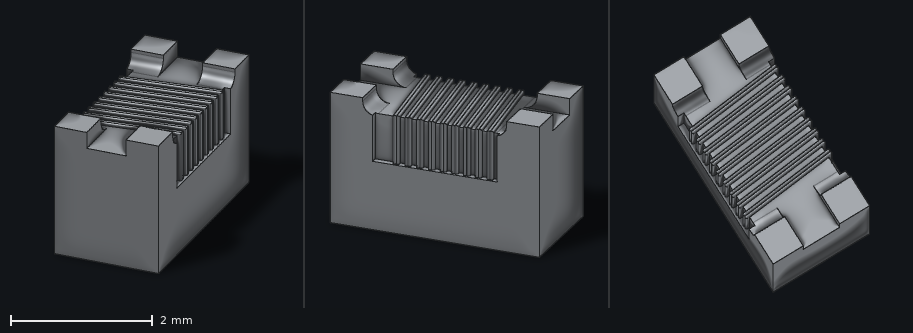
import cadquery as cq
import math

width = 1.6
length = 3.2
height = 2.0

post_width = 0.5
post_length = 0.5
post_height = 0.25
fillet_radius = 0.2
floor_z = height - post_height

recess_depth = 0.1
recess_length = 1.9
recess_height = 0.95
recess_bottom_z = height - recess_height
wall_x = width / 2 - recess_depth

wire_diameter = 0.048
wire_radius = wire_diameter / 2
turn_count = 9
turn_pitch = 0.18
turn_skew = 0.157
winding_middle_y = -0.03
side_standoff = 0.065
top_standoff = 0.045
side_x = wall_x + side_standoff - wire_radius
wire_z = floor_z + top_standoff - wire_radius
web_depth = 0.058


def make_core():
    block = cq.Workplane("XY").box(width, length, height, centered=(True, True, False))

    gap_end_y = length / 2 - post_length
    gap_floor_y = gap_end_y - fillet_radius
    arc_middle = fillet_radius * (1 - math.sqrt(0.5))
    arc_top_z = floor_z + fillet_radius
    gap = (
        cq.Workplane("YZ")
        .moveTo(-gap_end_y, height)
        .lineTo(-gap_end_y, arc_top_z)
        .threePointArc((-gap_end_y + arc_middle, floor_z + arc_middle), (-gap_floor_y, floor_z))
        .lineTo(gap_floor_y, floor_z)
        .threePointArc((gap_end_y - arc_middle, floor_z + arc_middle), (gap_end_y, arc_top_z))
        .lineTo(gap_end_y, height)
        .close()
        .extrude(width / 2, both=True)
    )

    channel = cq.Workplane("XY", origin=(0, 0, floor_z)).box(
        width - 2 * post_width, length, post_height, centered=(True, True, False)
    )
    core = block.cut(gap).cut(channel)

    for side in (-1, 1):
        recess = cq.Workplane("XY", origin=(side * (wall_x + recess_depth / 2), 0, recess_bottom_z)).box(
            recess_depth, recess_length, recess_height, centered=(True, True, False)
        )
        core = core.cut(recess)
    return core


def make_turn():
    """One wire pair: up the -X wall, across the floor on a skew and down the +X wall."""
    skew_angle = math.atan2(turn_skew, 2 * side_x)
    half_span = math.hypot(side_x, turn_skew / 2)
    path = (
        cq.Workplane("XZ")
        .moveTo(-half_span, recess_bottom_z)
        .lineTo(-half_span, wire_z)
        .lineTo(half_span, wire_z)
        .lineTo(half_span, recess_bottom_z)
    )
    section = (
        cq.Workplane("XY", origin=(-half_span, 0, recess_bottom_z))
        .moveTo(web_depth, -wire_diameter)
        .lineTo(0, -wire_diameter)
        .threePointArc((-wire_radius, -wire_radius), (0, 0))
        .threePointArc((-wire_radius, wire_radius), (0, wire_diameter))
        .lineTo(web_depth, wire_diameter)
        .close()
    )
    turn = section.sweep(path, transition="right")
    return turn.rotate((0, 0, 0), (0, 0, 1), math.degrees(skew_angle))


result = make_core()
turn = make_turn()
for index in range(turn_count):
    turn_y = winding_middle_y + (index - (turn_count - 1) / 2) * turn_pitch
    result = result.union(turn.translate((0, turn_y, 0)))